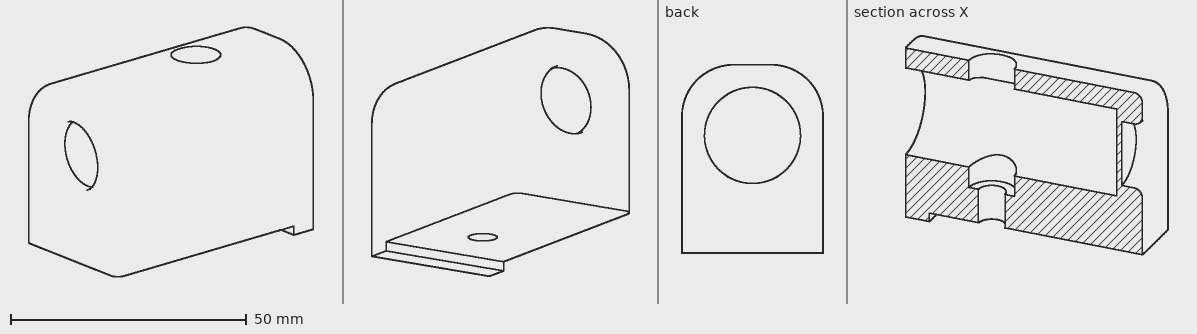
import cadquery as cq
import math

WIDTH = 30.0
LENGTH = 55.0
HEIGHT = 40.0
SHOULDER_RADIUS = 11.0
FRONT_EDGE_RADIUS = 2.0

LIP_HEIGHT = 2.0
LIP_LENGTH = 5.5

BORE_DIAMETER = 20.4
BORE_AXIS_Z = 25.0
DISH_DIAMETER = 15.0
DISH_EDGE_RADIUS = 2.0
DISH_DEPTH = 4.8
FRONT_WALL = 6.0

SCREW_Y = 35.0
SCREW_DIAMETER = 6.1
SCREW_HEAD_DIAMETER = 10.5
SCREW_SEAT_Z = 10.0


def make_body():
    """Block with rounded shoulders and a rounded front rim."""
    body_height = HEIGHT - LIP_HEIGHT
    block = cq.Workplane("XY").box(WIDTH, LENGTH, body_height, centered=(True, False, False))
    block = block.translate((0, 0, LIP_HEIGHT))
    block = block.edges("|Y and >Z").fillet(SHOULDER_RADIUS)
    return block.faces("<Y").edges("not <Z").fillet(FRONT_EDGE_RADIUS)


def make_lip():
    """Full-width strip below the rear end."""
    lip = cq.Workplane("XY").box(WIDTH, LIP_LENGTH, LIP_HEIGHT, centered=(True, False, False))
    return lip.translate((0, LENGTH - LIP_LENGTH, 0))


def cylinder_along_y(diameter, start_y, end_y):
    """Cylinder on the bore axis between two Y positions."""
    axis_start = cq.Vector(0, start_y, BORE_AXIS_Z)
    return cq.Workplane(cq.Solid.makeCylinder(diameter / 2, end_y - start_y, axis_start, cq.Vector(0, 1, 0)))


def cylinder_along_z(diameter, start_z, end_z):
    """Cylinder on the screw axis between two heights."""
    axis_start = cq.Vector(0, SCREW_Y, start_z)
    return cq.Workplane(cq.Solid.makeCylinder(diameter / 2, end_z - start_z, axis_start))


def cut_dish(part):
    """Blind round dish whose mouth is rounded over."""
    mouth_radius = DISH_DIAMETER / 2 + DISH_EDGE_RADIUS
    arc_offset = DISH_EDGE_RADIUS / math.sqrt(2)
    profile = (
        cq.Workplane("XY")
        .moveTo(0, 0)
        .lineTo(mouth_radius, 0)
        .threePointArc(
            (mouth_radius - arc_offset, DISH_EDGE_RADIUS - arc_offset),
            (DISH_DIAMETER / 2, DISH_EDGE_RADIUS),
        )
        .lineTo(DISH_DIAMETER / 2, DISH_DEPTH)
        .lineTo(0, DISH_DEPTH)
        .close()
    )
    dish = profile.revolve(360, (0, 0, 0), (0, 1, 0)).translate((0, 0, BORE_AXIS_Z))
    return part.cut(dish)


def cut_bore(part):
    """Main bore, open at the rear and closed by the front wall."""
    return part.cut(cylinder_along_y(BORE_DIAMETER, FRONT_WALL, LENGTH))


def cut_screw_hole(part):
    """Through hole with a deep counterbore that crosses the main bore."""
    part = part.cut(cylinder_along_z(SCREW_DIAMETER, LIP_HEIGHT, HEIGHT))
    return part.cut(cylinder_along_z(SCREW_HEAD_DIAMETER, SCREW_SEAT_Z, HEIGHT))


result = make_body().union(make_lip())
result = cut_dish(result)
result = cut_bore(result)
result = cut_screw_hole(result)